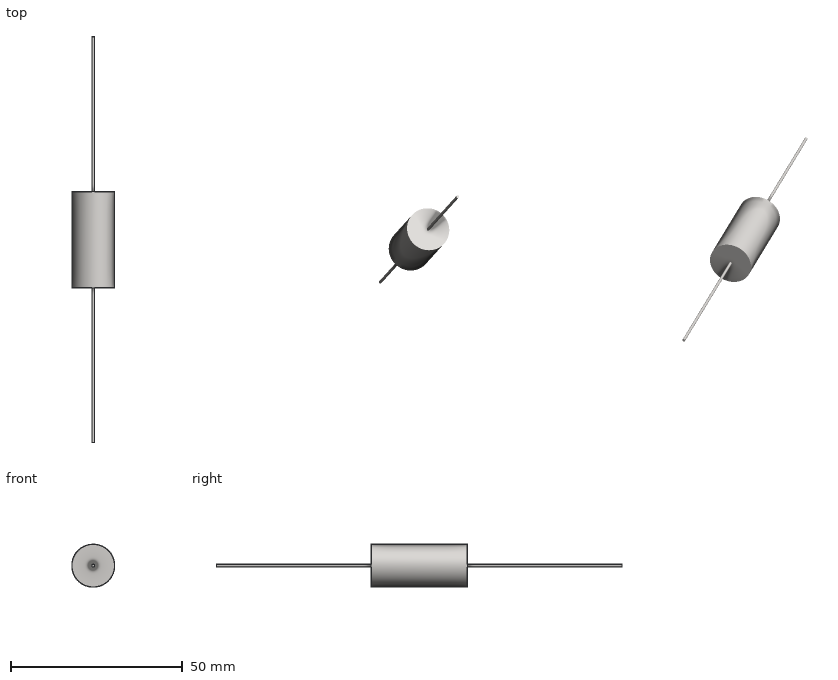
import cadquery as cq

overall_length = 118.0
body_length = 28.0
body_diameter = 12.5
lead_diameter = 0.8


def centered_rod(diameter, length):
    """Solid rod along Y, centered on the origin."""
    front_end = cq.Workplane("XZ", origin=(0, -length / 2, 0))
    return front_end.circle(diameter / 2).extrude(-length)


body = centered_rod(body_diameter, body_length)

leads = centered_rod(lead_diameter, overall_length)

result = body.union(leads)